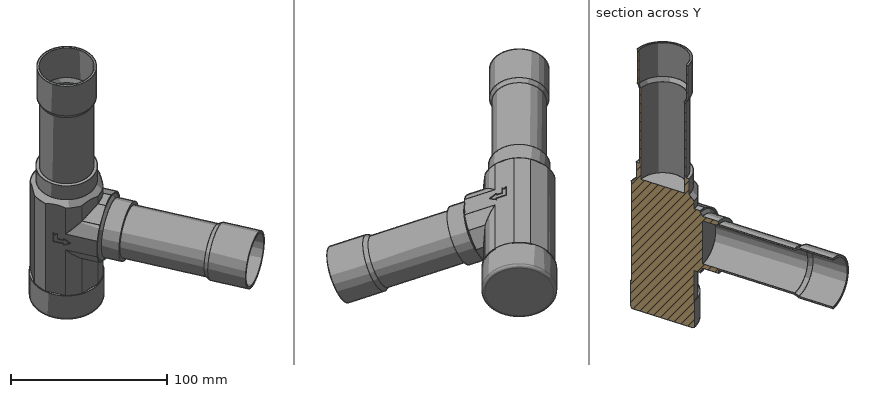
import cadquery as cq
import math

corner_radius = 23.5
flat_count = 6
flat_distance = 22.5
hex_circumdiameter = 2 * flat_distance / math.cos(math.pi / flat_count)
body_bottom = 21.0
branch_height = 67.0
branch_length = 28.2

cap_radius = 24.0
cap_fillet = 2.0

collar_radius = 19.75
collar_length = 11.8
tube_radius = 17.5
tube_bore_radius = 16.0
bell_radius = 19.1
bell_bore_radius = 17.6
tube_length = 56.8
flare_length = 3.0
bell_length = 25.4
collar_to_tip = collar_length + tube_length + flare_length + bell_length

total_height = 197.0
branch_tip = 127.0
collar_base = total_height - collar_to_tip
branch_collar_base = branch_tip - collar_to_tip

body_shoulder_height = corner_radius - collar_radius
body_top = collar_base - body_shoulder_height
branch_shoulder_length = branch_collar_base - branch_length
branch_shoulder_radius = 22.2

arrow_relief = 0.5
arrow_half_width = 1.45
arrow_tail_top = 5.8
arrow_notch_depth = 1.3
arrow_head_start = 5.6
arrow_head_half_width = 2.6
arrow_tip = 10.3


def faceted_bar(length):
    """Round bar with six flats; one pair of flats faces -Y and +Y."""
    round_bar = cq.Workplane("XY").circle(corner_radius).extrude(length)
    hexagon = cq.Workplane("XY").polygon(flat_count, hex_circumdiameter).extrude(length)
    return round_bar.intersect(hexagon)


def revolve_along_z(profile):
    """Solid of revolution from (radius, height) points."""
    return cq.Workplane("XZ").polyline(profile).close().revolve(360, (0, 0), (0, 1))


def onto_branch(solid):
    """Turn a solid built along Z so that it lies along the branch axis."""
    return solid.rotate((0, 0, 0), (0, 1, 0), 90).translate((0, 0, branch_height))


def make_body():
    bar = faceted_bar(collar_base - body_bottom).translate((0, 0, body_bottom))
    envelope = revolve_along_z([
        (0, body_bottom),
        (corner_radius, body_bottom),
        (corner_radius, body_top),
        (collar_radius, collar_base),
        (0, collar_base),
    ])
    return bar.intersect(envelope)


def make_cap():
    cap = cq.Workplane("XY").circle(cap_radius).extrude(body_bottom)
    return cap.faces("<Z").edges().fillet(cap_fillet)


def make_branch():
    shoulder = revolve_along_z([
        (0, branch_length),
        (branch_shoulder_radius, branch_length),
        (collar_radius, branch_length + branch_shoulder_length),
        (0, branch_length + branch_shoulder_length),
    ])
    return onto_branch(faceted_bar(branch_length).union(shoulder))


def make_tube(base):
    """Collar and belled tube, bored from the open end down to the collar base."""
    collar_end = base + collar_length
    flare_start = collar_end + tube_length
    bell_start = flare_start + flare_length
    tip = bell_start + bell_length
    return revolve_along_z([
        (tube_bore_radius, base),
        (collar_radius, base),
        (collar_radius, collar_end),
        (tube_radius, collar_end),
        (tube_radius, flare_start),
        (bell_radius, bell_start),
        (bell_radius, tip),
        (bell_bore_radius, tip),
        (bell_bore_radius, bell_start),
        (tube_bore_radius, flare_start),
    ])


def make_arrows():
    """Bent arrow from the top outlet to the branch, standing out of both Y flats."""
    outline = [
        (-arrow_half_width, -arrow_half_width),
        (arrow_head_start, -arrow_half_width),
        (arrow_head_start, -arrow_head_half_width),
        (arrow_tip, 0),
        (arrow_head_start, arrow_head_half_width),
        (arrow_head_start, arrow_half_width),
        (arrow_half_width, arrow_half_width),
        (arrow_half_width, arrow_tail_top),
        (0, arrow_tail_top - arrow_notch_depth),
        (-arrow_half_width, arrow_tail_top),
    ]
    reach = flat_distance + arrow_relief
    arrows = cq.Workplane("XZ").polyline(outline).close().extrude(reach, both=True)
    return arrows.translate((0, 0, branch_height))


result = (
    make_body()
    .union(make_cap())
    .union(make_branch())
    .union(make_arrows())
    .union(make_tube(collar_base))
    .union(onto_branch(make_tube(branch_collar_base)))
)